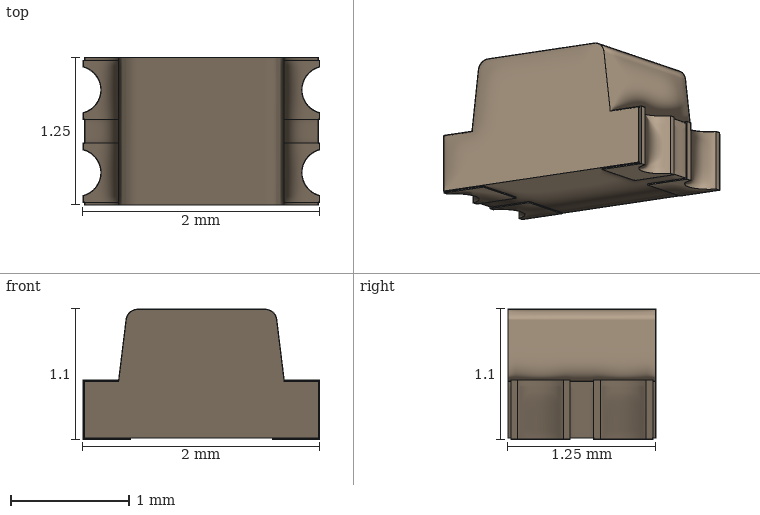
import cadquery as cq
import math

length = 2.0
width = 1.25
height = 1.1

base_height = 0.5
plating = 0.01
end_plating = 0.012
pad_length = 0.4
pad_width = 0.5
pad_gap = 0.2
pad_y = (pad_gap + pad_width) / 2

notch_radius = 0.2
notch_depth = 0.15
notch_x = length / 2 - notch_depth + notch_radius

lens_length = 1.4
lens_draft = 7.0
lens_radius = 0.1
lens_height = height - base_height
lens_top_length = lens_length - 2 * lens_height * math.tan(math.radians(lens_draft))


def make_board():
    """Bare board, inset from the outer faces of the terminals."""
    board_height = base_height - 2 * plating
    board = cq.Workplane("XY").box(
        length - 2 * end_plating, width, board_height, centered=(True, True, False)
    )
    return board.translate((0, 0, plating))


def make_terminal(side, y):
    """Terminal wrapped around one end of the board."""
    terminal = cq.Workplane("XY").box(
        pad_length, pad_width, base_height, centered=(True, True, False)
    )
    return terminal.translate((side * (length - pad_length) / 2, y, 0))


def make_notch(side, y):
    """Vertical cylinder that hollows out a terminal from top to bottom."""
    return cq.Workplane("XY").center(side * notch_x, y).circle(notch_radius).extrude(base_height)


def make_lens():
    """Lens across the full width, rounded along its two upper edges and seated on the board."""
    board_top = base_height - plating
    lens = (
        cq.Workplane("XZ")
        .moveTo(-lens_length / 2, board_top)
        .lineTo(-lens_length / 2, base_height)
        .lineTo(-lens_top_length / 2, height)
        .lineTo(lens_top_length / 2, height)
        .lineTo(lens_length / 2, base_height)
        .lineTo(lens_length / 2, board_top)
        .close()
        .extrude(width / 2, both=True)
    )
    return lens.faces(">Z").edges("|Y").fillet(lens_radius)


result = make_board()
terminal_places = [(side, y) for side in (-1, 1) for y in (-pad_y, pad_y)]
for side, y in terminal_places:
    result = result.union(make_terminal(side, y))
for side, y in terminal_places:
    result = result.cut(make_notch(side, y))
result = result.union(make_lens())